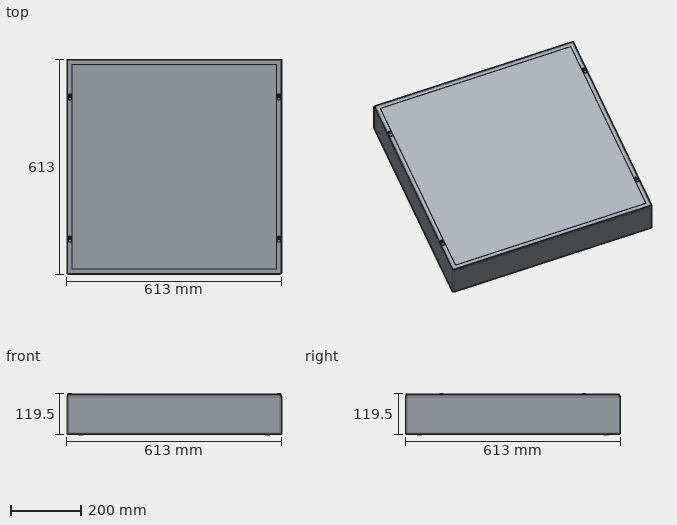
import cadquery as cq
import math

side = 613.0
foot_height = 2.75
total_height = 119.5
head_height = 2.0
lid_thickness = 2.0
gasket_thickness = 1.0
edge_gap = 1.65
seal_width = 13.0

wall = 1.55
bend_radius = 5.0
floor_radius = 3.0
foot_base_diameter = 15.0
foot_tip_diameter = 10.0
foot_spacing = 532.0

screw_spacing_x = 595.5
screw_spacing_y = 405.5
head_diameter = 10.0
head_bevel_drop = 1.55
head_bevel_run = 2.15
socket_diameter = 4.15
socket_depth = 1.0
shank_diameter = 4.6
shank_below_rim = 6.0
slot_width = 5.8
entry_diameter = 10.0
entry_offset = 7.5

lid_top = total_height - foot_height - head_height
lid_bottom = lid_top - lid_thickness
rim_top = lid_bottom - gasket_thickness
lid_side = side - 2 * edge_gap
opening_side = lid_side - 2 * seal_width
foot_taper = math.degrees(math.atan((foot_base_diameter - foot_tip_diameter) / 2 / foot_height))

screw_points = [
    (sx * screw_spacing_x / 2, sy * screw_spacing_y / 2) for sx in (-1, 1) for sy in (-1, 1)
]


def square_plate(width, bottom, top):
    """Square plate centred on the Z axis, between two levels."""
    return cq.Workplane("XY").workplane(offset=bottom).rect(width, width).extrude(top - bottom)


def round_posts(points, diameter, bottom, top):
    """Round posts at the given points, between two levels."""
    return (
        cq.Workplane("XY")
        .workplane(offset=bottom)
        .pushPoints(points)
        .circle(diameter / 2)
        .extrude(top - bottom)
    )


def build_housing():
    """Folded tray with a rim turned inwards, bent edges and four feet."""
    shell = square_plate(side, 0, rim_top)
    shell = shell.edges("|Z and <Y").fillet(bend_radius)
    shell = shell.faces(">Z").edges().fillet(bend_radius)
    shell = shell.faces("<Z").edges().fillet(floor_radius)

    cavity = square_plate(side - 2 * wall, wall, rim_top - wall)
    cavity = cavity.edges("|Z and <Y").fillet(bend_radius - wall)
    cavity = cavity.faces(">Z").edges().fillet(bend_radius - wall)
    cavity = cavity.faces("<Z").edges().fillet(floor_radius - wall)
    opening = square_plate(opening_side, rim_top - bend_radius, rim_top)
    shank_holes = round_posts(screw_points, shank_diameter, rim_top - bend_radius, rim_top)

    feet = (
        cq.Workplane("XY")
        .rect(foot_spacing, foot_spacing, forConstruction=True)
        .vertices()
        .circle(foot_base_diameter / 2)
        .extrude(-foot_height, taper=foot_taper)
    )
    return shell.cut(cavity).cut(opening).cut(shank_holes).union(feet)


def build_gasket():
    """Flat sealing ring between the housing rim and the lid."""
    ring = square_plate(lid_side, rim_top, lid_bottom)
    opening = square_plate(opening_side, rim_top, lid_bottom)
    shank_holes = round_posts(screw_points, shank_diameter, rim_top, lid_bottom)
    return ring.cut(opening).cut(shank_holes)


def build_lid():
    """Flat cover with a keyhole at each screw."""
    lid = square_plate(lid_side, lid_bottom, lid_top)
    entry_points = [(x, y - entry_offset) for x, y in screw_points]
    slot_points = [(x, y - entry_offset / 2) for x, y in screw_points]
    slots = (
        cq.Workplane("XY")
        .workplane(offset=lid_bottom)
        .pushPoints(slot_points)
        .slot2D(entry_offset + slot_width, slot_width, 90)
        .extrude(lid_thickness)
    )
    entries = round_posts(entry_points, entry_diameter, lid_bottom, lid_top)
    return lid.cut(entries).cut(slots)


def build_screw(point):
    """Lid screw: bevelled head with a round socket, on a plain shank."""
    head_top = lid_top + head_height
    head = round_posts([point], head_diameter, lid_top, head_top)
    head = head.faces(">Z").edges().chamfer(head_bevel_drop, head_bevel_run)
    socket = round_posts([point], socket_diameter, head_top - socket_depth, head_top)
    shank = round_posts([point], shank_diameter, rim_top - wall - shank_below_rim, lid_top)
    return head.cut(socket).union(shank)


housing = build_housing()
gasket = build_gasket()
lid = build_lid()
screws = [build_screw(point) for point in screw_points]

result = cq.Compound.makeCompound(
    [housing.val(), gasket.val(), lid.val()] + [screw.val() for screw in screws]
)